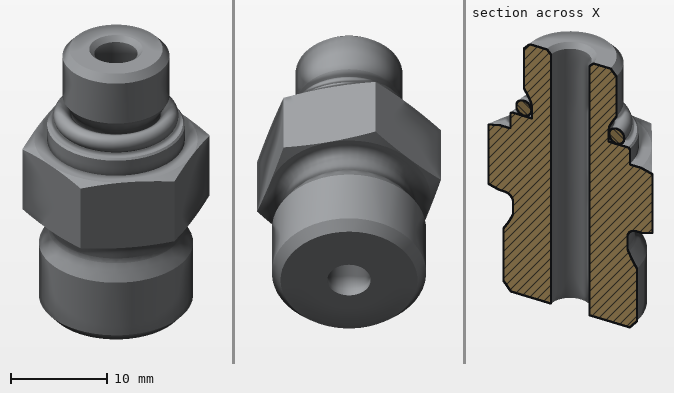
import cadquery as cq
import math

total_height = 31.0
hex_bottom = 12.0
hex_top = 20.0
collar_top = 22.0

hex_across_flats = 17.0
hex_face_diameter = 16.93
hex_chamfer_angle = 15.0

lower_thread_diameter = 16.0
lower_tip_diameter = 14.2
lower_chamfer_height = 1.05
lower_thread_top = 7.47
neck_diameter = 13.7

upper_thread_diameter = 11.1
upper_tip_diameter = 9.67
upper_chamfer_height = 0.78
upper_thread_bottom = 25.35
groove_diameter = 9.25

collar_diameter = 14.3
collar_chamfer = 0.2

runout_angle = 30.0
undercut_radius = 1.0

bore_diameter = 4.5
bore_mouth_diameter = 5.55

ring_section_radius = 0.93


def runout_height(thread_diameter, root_diameter):
    """Axial length of the conical run-out from a thread down to its undercut."""
    return (thread_diameter - root_diameter) / 2 / math.tan(math.radians(runout_angle))


def turned_section(points):
    """Solid of revolution about Z from (radius, z) points, closed along the axis."""
    return cq.Workplane("XZ").polyline(points).close().revolve(360, (0, 0), (0, 1))


def round_inner_corner(body, diameter, z):
    """Round the concave circular edge of the given diameter at height z."""
    margin = 0.003
    reach = diameter / 2 + margin
    corner = cq.selectors.BoxSelector((-reach, -reach, z - margin), (reach, reach, z + margin), True)
    return body.edges(corner).edges("%CIRCLE").fillet(undercut_radius)


def make_lower_end():
    thread_radius = lower_thread_diameter / 2
    neck_radius = neck_diameter / 2
    neck_start = lower_thread_top + runout_height(lower_thread_diameter, neck_diameter)
    end = turned_section([
        (0, 0),
        (lower_tip_diameter / 2, 0),
        (thread_radius, lower_chamfer_height),
        (thread_radius, lower_thread_top),
        (neck_radius, neck_start),
        (neck_radius, hex_bottom),
        (0, hex_bottom),
    ])
    return round_inner_corner(end, neck_diameter, neck_start)


def make_neck_flare():
    """Concave flare between the lower neck and the underside of the hexagon."""
    neck_radius = neck_diameter / 2
    flare_start = hex_bottom - undercut_radius
    diagonal = undercut_radius * math.sqrt(0.5)
    return (
        cq.Workplane("XZ")
        .moveTo(0, flare_start)
        .lineTo(neck_radius, flare_start)
        .threePointArc(
            (neck_radius + undercut_radius - diagonal, flare_start + diagonal),
            (neck_radius + undercut_radius, hex_bottom),
        )
        .lineTo(0, hex_bottom)
        .close()
        .revolve(360, (0, 0), (0, 1))
    )


def make_hexagon():
    """Hexagon with corners on the Y axis, its corners turned off at both faces."""
    face_radius = hex_face_diameter / 2
    corner_radius = hex_across_flats / 2 / math.cos(math.pi / 6)
    corner_drop = (corner_radius - face_radius) * math.tan(math.radians(hex_chamfer_angle))
    prism = (
        cq.Workplane("XY", origin=(0, 0, hex_bottom))
        .polygon(6, 2 * corner_radius)
        .extrude(hex_top - hex_bottom)
        .rotate((0, 0, 0), (0, 0, 1), 30)
    )
    envelope = turned_section([
        (0, hex_bottom),
        (face_radius, hex_bottom),
        (corner_radius, hex_bottom + corner_drop),
        (corner_radius, hex_top - corner_drop),
        (face_radius, hex_top),
        (0, hex_top),
    ])
    return prism.intersect(envelope)


def make_upper_end():
    collar_radius = collar_diameter / 2
    thread_radius = upper_thread_diameter / 2
    groove_radius = groove_diameter / 2
    groove_top = upper_thread_bottom - runout_height(upper_thread_diameter, groove_diameter)
    end = turned_section([
        (0, hex_top),
        (collar_radius, hex_top),
        (collar_radius, collar_top - collar_chamfer),
        (collar_radius - collar_chamfer, collar_top),
        (groove_radius, collar_top),
        (groove_radius, groove_top),
        (thread_radius, upper_thread_bottom),
        (thread_radius, total_height - upper_chamfer_height),
        (upper_tip_diameter / 2, total_height),
        (0, total_height),
    ])
    return round_inner_corner(end, groove_diameter, groove_top)


def make_bore():
    """Through bore with a 45 degree countersink at the upper mouth."""
    bore_radius = bore_diameter / 2
    mouth_radius = bore_mouth_diameter / 2
    return turned_section([
        (0, 0),
        (bore_radius, 0),
        (bore_radius, total_height - (mouth_radius - bore_radius)),
        (mouth_radius, total_height),
        (0, total_height),
    ])


def make_fitting():
    outside = make_lower_end().union(make_neck_flare()).union(make_hexagon()).union(make_upper_end())
    return outside.cut(make_bore())


def make_sealing_ring():
    """O-ring seated on the collar and around the groove."""
    center_radius = groove_diameter / 2 + ring_section_radius
    return (
        cq.Workplane("XZ")
        .center(center_radius, collar_top + ring_section_radius)
        .circle(ring_section_radius)
        .revolve(360, (-center_radius, 0), (-center_radius, 1))
    )


fitting = make_fitting()
sealing_ring = make_sealing_ring()

result = cq.Compound.makeCompound([fitting.val(), sealing_ring.val()])